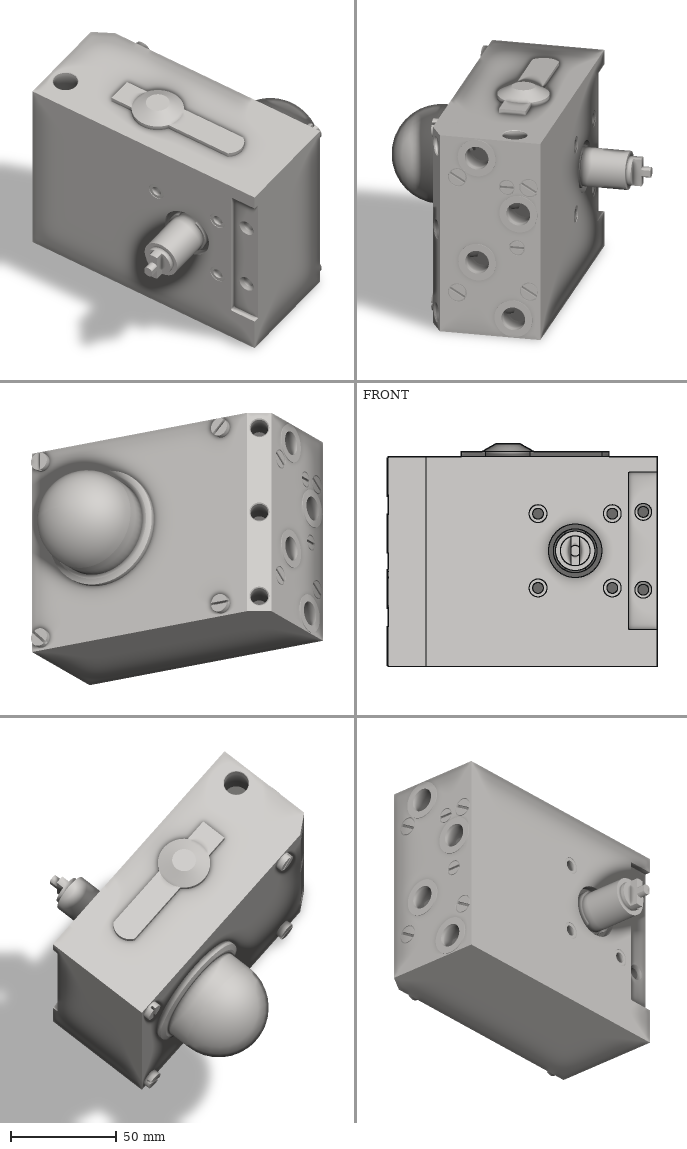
import cadquery as cq
import math


block_depth = 55.0
block_height = 99.9
manifold_width = 18.0
housing_width = 110.0
cover_thickness = 10.0
shaft_to_right = 39.0
shaft_to_top = 44.8

right_x = shaft_to_right
joint_x = right_x - housing_width
left_x = joint_x - manifold_width
top_z = shaft_to_top
bottom_z = top_z - block_height
middle_z = (top_z + bottom_z) / 2
cover_y = block_depth - cover_thickness

bevel_angle = math.radians(30)
bevel_width = 10.0
bevel_depth = bevel_width * math.tan(bevel_angle)
bevel_hole_radius = 4.2
bevel_hole_rim_radius = 4.8
bevel_hole_rim_depth = 0.5
bevel_hole_length = 18.4
bevel_hole_spacing = 42.4

ports = [(31.1, 34.9), (10.7, 8.2), (30.8, -18.1), (13.1, -45.3)]
port_radius = 5.8
port_depth = 11.5
port_pad_radius = 9.2
port_pad_height = 0.4
port_rib_radius = 4.0
port_rib_rise = 1.9
port_rib_setback = 3.7
port_rib_sink = 1.3

large_faces = [(40.6, 24.1), (5.6, 21.8), (40.6, -34.5), (5.4, -31.0)]
small_faces = [(16.4, 21.2), (11.3, -9.1)]
large_face_radius = 4.6
large_face_tilt = 30
small_face_radius = 3.9
small_face_tilt = 0
face_groove_width = 0.5
face_groove_depth = 0.4
face_slot_width = 1.3
face_slot_depth = 1.0

cable_hole_y = 14.6
cable_hole_radius = 5.9
cable_hole_rim = 0.3
cable_hole_depth = 19.3

latch_height = 2.3
latch_y = 22.2
latch_width = 13.1
latch_left_x = -54.2
latch_side_end_x = 12.7
latch_tip_x = 16.2
knob_x = -32.0
knob_radius = 12.5
knob_top_radius = 5.6
knob_height = 6.2

pocket_left_x = 25.3
pocket_height = 75.0
pocket_depth = 3.0
pocket_corner_radius = 0.9
pocket_hole_x = 32.4
pocket_hole_spacing = 37.0
pocket_hole_radius = 2.6
pocket_hole_rim_radius = 4.0
pocket_hole_depth = 12.8
mount_spacing = 35.3
mount_hole_radius = 2.6
mount_hole_depth = 12.8
mount_recess_radius = 4.2
mount_recess_depth = 0.3

recess_radius = 12.7
recess_depth = 3.9
collar_radius = 10.4
collar_notch_width = 9.8
collar_notch_depth = 3.1
shaft_radius = 9.4
shaft_length = 21.8
journal_radius = 7.0
journal_length = 2.3
tang_width = 4.1
tang_end = 28.1
tip_radius = 2.6
tip_end = 32.5

flange_radius = 28.2
flange_side_height = 2.7
flange_height = 3.7
flange_top_radius = 25.7
dome_radius = 23.8
dome_height = 38.9

screw_inset = 5.6
screw_radius = 4.4
screw_height = 3.2
screw_slot_width = 1.3
screw_slot_depth = 2.0


def box(x_range, y_range, z_range):
    """Box between two limits on each axis."""
    sizes = [high - low for low, high in (x_range, y_range, z_range)]
    return cq.Workplane("XY").box(*sizes, centered=False).translate((x_range[0], y_range[0], z_range[0]))


def rod(start, direction, radius, length):
    """Cylinder from a start point along a direction."""
    return cq.Workplane(cq.Solid.makeCylinder(radius, length, cq.Vector(*start), cq.Vector(*direction)))


def cone(start, direction, start_radius, end_radius, length):
    """Truncated cone from a start point along a direction."""
    return cq.Workplane(
        cq.Solid.makeCone(start_radius, end_radius, length, cq.Vector(*start), cq.Vector(*direction))
    )


def cut_port(body, y, z):
    """Raise a thin pad on the left face and bore the port through it."""
    pad = rod((left_x - port_pad_height, y, z), (1, 0, 0), port_pad_radius, port_pad_height)
    bore_length = port_depth + port_pad_height
    bore = rod((left_x - port_pad_height, y, z), (1, 0, 0), port_radius, bore_length)
    return body.union(pad).cut(bore)


def port_rib(y, z):
    """Round rib rising from the rear part of a port floor, parallel to the bevel holes."""
    start = (left_x + port_depth + port_rib_sink, y + port_rib_setback, z + port_rib_rise)
    outward = (-math.sin(bevel_angle), math.cos(bevel_angle), 0)
    rib = rod(start, outward, port_rib_radius, 2 * port_radius)
    bore = rod((left_x, y, z), (1, 0, 0), port_radius, port_depth)
    return rib.intersect(bore)


def cut_screw_face(body, y, z, radius, tilt):
    """Ring groove and tilted slot that show the head of a sunk screw."""
    inner_radius = radius - face_groove_width
    groove = rod((left_x, y, z), (1, 0, 0), radius, face_groove_depth)
    groove = groove.cut(rod((left_x, y, z), (1, 0, 0), inner_radius, face_groove_depth))
    slot = (
        box((0, face_slot_depth), (-radius, radius), (-face_slot_width / 2, face_slot_width / 2))
        .rotate((0, 0, 0), (1, 0, 0), tilt)
        .translate((left_x, y, z))
        .intersect(rod((left_x, y, z), (1, 0, 0), inner_radius, face_slot_depth))
    )
    return body.cut(groove).cut(slot)


def cut_bevel_hole(body, z):
    """Flat-bottomed hole with a countersunk rim, square to the bevel."""
    start = (left_x + bevel_width / 2, block_depth - bevel_depth / 2, z)
    inward = (math.sin(bevel_angle), -math.cos(bevel_angle), 0)
    rim = cone(start, inward, bevel_hole_rim_radius, bevel_hole_radius, bevel_hole_rim_depth)
    return body.cut(rod(start, inward, bevel_hole_radius, bevel_hole_length)).cut(rim)


def make_manifold():
    outline = [
        (left_x, 0),
        (joint_x, 0),
        (joint_x, block_depth),
        (left_x + bevel_width, block_depth),
        (left_x, block_depth - bevel_depth),
    ]
    body = cq.Workplane("XY").polyline(outline).close().extrude(block_height)
    body = body.translate((0, 0, bottom_z))
    for y, z in ports:
        body = cut_port(body, y, z)
    for y, z in ports[1:]:
        body = body.union(port_rib(y, z))
    for row in (-1, 0, 1):
        body = cut_bevel_hole(body, middle_z + row * bevel_hole_spacing)
    for y, z in large_faces:
        body = cut_screw_face(body, y, z, large_face_radius, large_face_tilt)
    for y, z in small_faces:
        body = cut_screw_face(body, y, z, small_face_radius, small_face_tilt)
    cable_start = ((left_x + joint_x) / 2, cable_hole_y, top_z)
    cable_hole = rod(cable_start, (0, 0, -1), cable_hole_radius, cable_hole_depth)
    cable_rim_radius = cable_hole_radius + cable_hole_rim
    cable_rim = cone(cable_start, (0, 0, -1), cable_rim_radius, cable_hole_radius, cable_hole_rim)
    return body.cut(cable_hole).cut(cable_rim)


def make_latch():
    """Strap with one rounded end, carrying a conical knob."""
    near_y = latch_y - latch_width / 2
    far_y = latch_y + latch_width / 2
    strap = (
        cq.Workplane("XY", origin=(0, 0, top_z))
        .moveTo(latch_left_x, near_y)
        .lineTo(latch_side_end_x, near_y)
        .threePointArc((latch_tip_x, latch_y), (latch_side_end_x, far_y))
        .lineTo(latch_left_x, far_y)
        .close()
        .extrude(latch_height)
    )
    knob_base = rod((knob_x, latch_y, top_z), (0, 0, 1), knob_radius, latch_height)
    knob_start = (knob_x, latch_y, top_z + latch_height)
    knob_top = cone(knob_start, (0, 0, 1), knob_radius, knob_top_radius, knob_height - latch_height)
    return strap.union(knob_base).union(knob_top)


def cut_mount_pocket(body):
    """Shallow pocket open to the right side, with two countersunk holes in its floor."""
    half_height = pocket_height / 2
    pocket = box((pocket_left_x, right_x), (0, pocket_depth), (-half_height, half_height))
    body = body.cut(pocket.edges("<X and |Y").fillet(pocket_corner_radius))
    rim_depth = pocket_hole_rim_radius - pocket_hole_radius
    for side in (-1, 1):
        start = (pocket_hole_x, pocket_depth, side * pocket_hole_spacing / 2)
        body = body.cut(rod(start, (0, 1, 0), pocket_hole_radius, pocket_hole_depth))
        body = body.cut(cone(start, (0, 1, 0), pocket_hole_rim_radius, pocket_hole_radius, rim_depth))
    return body


def cut_mount_holes(body):
    """Four holes around the shaft, each in a shallow round recess."""
    for x_side in (-1, 1):
        for z_side in (-1, 1):
            start = (x_side * mount_spacing / 2, 0, z_side * mount_spacing / 2)
            body = body.cut(rod(start, (0, 1, 0), mount_recess_radius, mount_recess_depth))
            body = body.cut(rod(start, (0, 1, 0), mount_hole_radius, mount_hole_depth))
    return body


def make_housing():
    body = box((joint_x, right_x), (0, cover_y), (bottom_z, top_z)).union(make_latch())
    body = cut_mount_holes(cut_mount_pocket(body))
    return body.cut(rod((0, 0, 0), (0, 1, 0), recess_radius, recess_depth))


def make_cover():
    """Rear plate with the indicator dome and its flange."""
    plate = box((joint_x, right_x), (cover_y, block_depth), (bottom_z, top_z))
    dome_base_height = dome_height - dome_radius
    diagonal = dome_radius * math.sqrt(0.5)
    dome_middle = (diagonal, dome_base_height + diagonal)
    dome = (
        cq.Workplane("XY")
        .lineTo(flange_radius, 0)
        .lineTo(flange_radius, flange_side_height)
        .lineTo(flange_top_radius, flange_height)
        .lineTo(dome_radius, flange_height)
        .lineTo(dome_radius, dome_base_height)
        .threePointArc(dome_middle, (0, dome_height))
        .close()
        .revolve(360, (0, 0, 0), (0, 1, 0))
        .translate((0, block_depth, 0))
    )
    return plate.union(dome)


def make_shaft():
    """Stepped shaft with a notched collar in the recess and a tang at its front end."""
    collar = rod((0, 0, 0), (0, 1, 0), collar_radius, recess_depth)
    half_notch = collar_notch_width / 2
    collar = collar.cut(box((-half_notch, half_notch), (0, collar_notch_depth), (-collar_radius, collar_radius)))
    stem = rod((0, recess_depth, 0), (0, -1, 0), shaft_radius, recess_depth + shaft_length)
    journal = rod((0, -shaft_length, 0), (0, -1, 0), journal_radius, journal_length)
    half_tang = tang_width / 2
    tang_slab = box((-half_tang, half_tang), (-tip_end, -shaft_length), (-journal_radius, journal_radius))
    blade = rod((0, 0, 0), (0, -1, 0), journal_radius, tang_end)
    tip = rod((0, 0, 0), (0, -1, 0), tip_radius, tip_end)
    tang = blade.union(tip).intersect(tang_slab)
    return collar.union(stem).union(journal).union(tang)


def make_cover_screw(x, z, slot_angle):
    """Slotted screw head standing on the cover."""
    head = rod((x, block_depth, z), (0, 1, 0), screw_radius, screw_height)
    half_width = screw_slot_width / 2
    slot = (
        box((-screw_radius, screw_radius), (-screw_slot_depth, 0), (-half_width, half_width))
        .rotate((0, 0, 0), (0, 1, 0), -slot_angle)
        .translate((x, block_depth + screw_height, z))
    )
    return head.cut(slot)


manifold = make_manifold()
housing = make_housing()
cover = make_cover()
shaft = make_shaft()

screw_left_x = joint_x + screw_inset
screw_right_x = right_x - screw_inset
screw_top_z = top_z - screw_inset
screw_bottom_z = bottom_z + screw_inset
screw_places = [
    (screw_left_x, screw_top_z, 135),
    (screw_right_x, screw_top_z, 90),
    (screw_left_x, screw_bottom_z, 0),
    (screw_right_x, screw_bottom_z, 45),
]
cover_screws = [make_cover_screw(x, z, angle) for x, z, angle in screw_places]

result = cq.Compound.makeCompound(
    [
        manifold.val(),
        housing.val(),
        cover.val(),
        shaft.val(),
        *[screw.val() for screw in cover_screws],
    ]
)